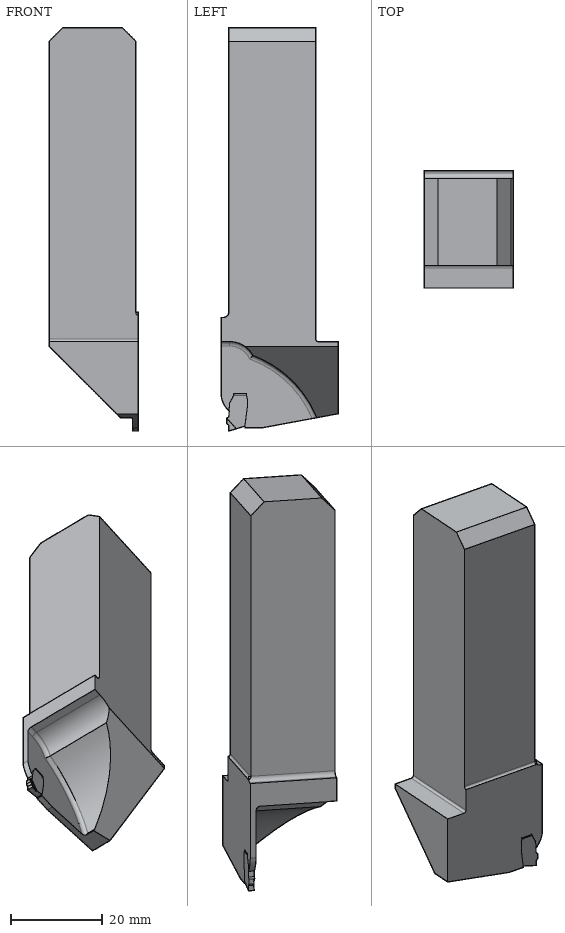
import cadquery as cq
import math

overall_height = 88.5
shank_x = 19.0
shank_y = 19.1
end_chamfer = 3.0

head_x = 19.6
head_back = 20.8
head_front = -5.0
back_shoulder_z = 25.0
side_shoulder_z = 25.4
ledge_z = 19.65
back_fillet = 1.15
ledge_fillet = 0.5
bevel_start_z = 18.6

bottom_z = 0.7
bottom_front_z = 3.8
bottom_break_y = 11.8
nose_start_z = 8.0
nose_middle = (20.3, 6.0)
nose_end = (19.0, 4.4)

blade_thickness = 1.3
blade_face_x = head_x - blade_thickness
wall_fillet = 1.0
wall_flat_y = 18.9
wall_radius = 5.8
wall_cusp_y = 13.8
wall_middle = (5.6, 11.4)
wall_end = (-0.1, 3.2)
margin = 4.4

insert_top_z = 8.0
insert_back_top = (18.0, insert_top_z)
insert_front_top = (15.2, insert_top_z)
insert_front_edge = [(15.05, 7.1), (15.05, 5.1), (15.6, 1.1)]
tip_point = (19.1, 0.0)
tip_back_edge = [(19.1, 1.2), (19.6, 1.7), (19.6, 2.8)]
insert_back_edge = [(19.1, 3.2), (18.9, 6.1)]
groove_start = tip_back_edge[-1]
groove_end = (17.5, 0.6)
groove_depth = 0.3
seat_gap = 0.3


def side_plane(x):
    """Sketch plane at a given X, with local axes along Y and Z."""
    return cq.Workplane("YZ", origin=(x, 0, 0))


def make_shank():
    bar = cq.Workplane("XY").box(shank_x, shank_y, overall_height - ledge_z, centered=False)
    return bar.faces(">Z").edges("|Y").chamfer(end_chamfer).translate((0, 0, ledge_z))


def make_head():
    """Foot of the holder, up to its back shoulder."""
    return (
        side_plane(0)
        .moveTo(head_front, bottom_front_z)
        .lineTo(head_front, ledge_z)
        .lineTo(0, ledge_z)
        .lineTo(0, back_shoulder_z)
        .lineTo(head_back, back_shoulder_z)
        .lineTo(head_back, nose_start_z)
        .threePointArc(nose_middle, nose_end)
        .lineTo(nose_end[0], bottom_z)
        .lineTo(bottom_break_y, bottom_z)
        .close()
        .extrude(head_x)
    )


def make_side_shoulder():
    """Pad on the +X side whose top runs into the shank by a concave arc."""
    radius = head_x - shank_x
    arc_offset = radius * (1 - math.sqrt(0.5))
    return (
        cq.Workplane("XZ")
        .moveTo(shank_x - radius, back_shoulder_z)
        .lineTo(head_x, back_shoulder_z)
        .lineTo(head_x, side_shoulder_z)
        .threePointArc(
            (shank_x + arc_offset, side_shoulder_z + arc_offset),
            (shank_x, side_shoulder_z + radius),
        )
        .lineTo(shank_x - radius, side_shoulder_z + radius)
        .close()
        .extrude(-shank_y)
    )


def make_corner_fillet(corner_y, corner_z, radius, direction, width):
    """Concave fillet along X; direction is the Y side it lies on."""
    arc_offset = radius * (1 - math.sqrt(0.5))
    return (
        side_plane(0)
        .moveTo(corner_y, corner_z)
        .lineTo(corner_y + direction * radius, corner_z)
        .threePointArc(
            (corner_y + direction * arc_offset, corner_z + arc_offset),
            (corner_y, corner_z + radius),
        )
        .close()
        .extrude(width)
    )


def make_bevel_cut():
    """Everything below the 45 degree bevel, short of the blade face."""
    return (
        cq.Workplane("XZ", origin=(0, head_front - margin, 0))
        .moveTo(-margin, bevel_start_z + margin)
        .lineTo(blade_face_x, bevel_start_z - blade_face_x)
        .lineTo(blade_face_x, -margin)
        .lineTo(-margin, -margin)
        .close()
        .extrude(-(head_back - head_front + 2 * margin))
    )


def make_blade_recess():
    """Pocket down to the blade face, its curved wall rounded at the foot."""
    def point_on_wall(y):
        drop = wall_radius - math.sqrt(wall_radius**2 - (wall_flat_y - y) ** 2)
        return (y, ledge_z - drop)

    recess = (
        side_plane(-margin)
        .moveTo(head_back + margin, ledge_z)
        .lineTo(wall_flat_y, ledge_z)
        .threePointArc(point_on_wall((wall_flat_y + wall_cusp_y) / 2), point_on_wall(wall_cusp_y))
        .threePointArc(wall_middle, wall_end)
        .lineTo(wall_end[0], -margin)
        .lineTo(head_back + margin, -margin)
        .close()
        .extrude(blade_face_x + margin)
    )
    wall_box = cq.selectors.BoxSelector(
        (blade_face_x - wall_fillet, wall_end[0] + wall_fillet, wall_end[1] + wall_fillet),
        (head_x, head_back + 2 * margin, ledge_z + wall_fillet),
    )
    floor_edges = recess.faces(">X").edges(wall_box).edges("not >Y")
    return recess.newObject(floor_edges.vals()).fillet(wall_fillet)


def make_insert():
    outline = [tip_point, *tip_back_edge, *insert_back_edge, insert_back_top, insert_front_top]
    insert = side_plane(blade_face_x).polyline(outline + insert_front_edge).close().extrude(blade_thickness)
    return insert.cut(make_chip_groove())


def make_chip_groove():
    """Wedge with a steep wall along the groove line, running out at the tip."""
    start = cq.Vector(blade_face_x, *groove_start)
    along = (cq.Vector(blade_face_x, *groove_end) - start).normalized()
    toward_tip = along.cross(cq.Vector(-1, 0, 0))
    run_out = (cq.Vector(blade_face_x, *tip_point) - start).dot(toward_tip)
    plane = cq.Plane(origin=start, xDir=toward_tip, normal=along)
    wedge = cq.Workplane(plane).polyline([(0, 0), (run_out, 0), (0, groove_depth)]).close()
    return wedge.extrude(margin, both=True)


def make_seat_cut():
    """Opening through the blade that holds the insert."""
    outline = [
        (insert_back_top[0], insert_top_z + seat_gap),
        (insert_front_top[0], insert_top_z + seat_gap),
        insert_front_top,
        *insert_front_edge,
        (insert_front_edge[-1][0], -margin),
        (head_back, -margin),
        (head_back, insert_back_edge[0][1]),
        *insert_back_edge,
        insert_back_top,
    ]
    return side_plane(blade_face_x).polyline(outline).close().extrude(blade_thickness)


def make_holder():
    holder = make_shank().union(make_head()).union(make_side_shoulder())
    holder = holder.union(make_corner_fillet(shank_y, back_shoulder_z, back_fillet, 1, head_x))
    holder = holder.union(make_corner_fillet(0, ledge_z, ledge_fillet, -1, head_x))
    return holder.cut(make_bevel_cut()).cut(make_blade_recess()).cut(make_seat_cut())


holder = make_holder()
insert = make_insert()

result = cq.Compound.makeCompound([holder.val(), insert.val()])